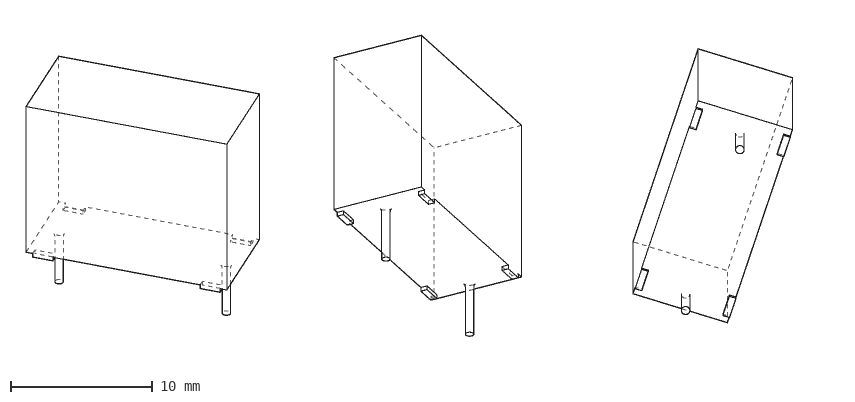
import cadquery as cq

case_length = 15.0
case_width = 7.0
overall_height = 16.5
lead_protrusion = 4.0
foot_height = 0.3
case_height = overall_height - lead_protrusion - foot_height

foot_length = 1.5
foot_width = 0.5
foot_end_inset = 0.5

lead_diameter = 0.6
lead_pitch = 12.5
collar_fillet_radius = 0.5

embed_depth = 0.5


def make_case():
    return (
        cq.Workplane("XY")
        .workplane(offset=foot_height)
        .rect(case_length, case_width)
        .extrude(case_height)
    )


def make_feet():
    x_spacing = case_length - 2 * foot_end_inset - foot_length
    y_spacing = case_width - foot_width
    return (
        cq.Workplane("XY")
        .rarray(x_spacing, y_spacing, 2, 2)
        .rect(foot_length, foot_width)
        .extrude(foot_height)
    )


def make_lead(x_position):
    """Revolve the half profile of a lead: straight wire below a quarter-round collar."""
    lead_radius = lead_diameter / 2
    case_bottom = foot_height
    collar_bottom = case_bottom - collar_fillet_radius
    collar_top_radius = lead_radius + collar_fillet_radius
    embedded_end = case_bottom + embed_depth
    return (
        cq.Workplane("XZ")
        .moveTo(0, -lead_protrusion)
        .lineTo(lead_radius, -lead_protrusion)
        .lineTo(lead_radius, collar_bottom)
        .radiusArc((collar_top_radius, case_bottom), collar_fillet_radius)
        .lineTo(collar_top_radius, embedded_end)
        .lineTo(0, embedded_end)
        .close()
        .revolve(360, (0, 0), (0, 1))
        .translate((x_position, 0, 0))
    )


result = make_case().union(make_feet())
for side in (-1, 1):
    result = result.union(make_lead(side * lead_pitch / 2))